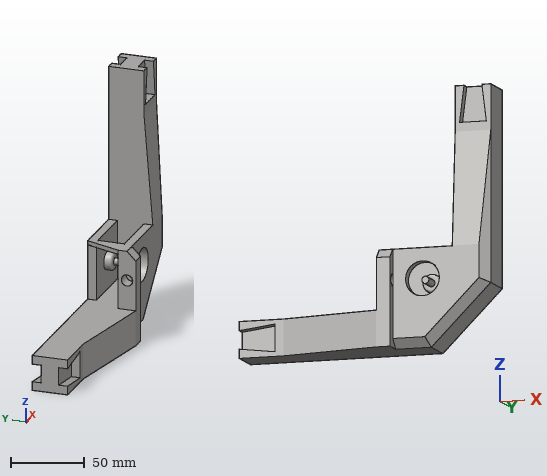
import cadquery as cq

length = 179.0
section = 25.5
wall = section / 4
plate_depth = section + wall
post_depth = section + 2 * wall

arm_inner = length - section
post_left = 101.7
post_right = 111.3
hub_height = 67.8
corner_cut = 42.2
end_block = 5 * wall

pocket_left = 114.2
bridge_thickness = 3.0
pin_x = (post_right + arm_inner) / 2
pin_z = (section + hub_height) / 2
access_diameter = 24.0
side_hole_diameter = 8.0

pin_diameter = 5.0
head_diameter = 12.7
head_height = 5.7
head_fillet = 1.6

dovetail_mouth = 2 * wall
dovetail_base = 3 * wall
dovetail_length = section


def slab(points, depth_from, depth_to):
    """Extrude an (X, Z) outline between two depths."""
    plane = cq.Workplane("XZ", origin=(0, -depth_from, 0))
    return plane.polyline(points).close().extrude(depth_to - depth_from)


def block(x_range, depth_range, z_range):
    (x0, x1), (z0, z1) = x_range, z_range
    return slab([(x0, z0), (x1, z0), (x1, z1), (x0, z1)], *depth_range)


def cylinder(diameter, depth_from, depth_to):
    """Round solid on the pin axis between two depths."""
    plane = cq.Workplane("XZ", origin=(pin_x, -depth_from, pin_z))
    return plane.circle(diameter / 2).extrude(depth_to - depth_from)


def lower_arm():
    """Lower arm, deepening toward the post."""
    outline = [
        (0, 0), (post_right, 0), (post_right, -post_depth), (post_left, -post_depth),
        (end_block, -section), (0, -section),
    ]
    return cq.Workplane("XY").polyline(outline).close().extrude(section)


def post():
    """Upright post with a chamfered top front edge."""
    outline = [
        (-section, 0), (-post_depth, 0), (-post_depth, hub_height - wall),
        (-plate_depth, hub_height), (-section, hub_height),
    ]
    plane = cq.Workplane("YZ", origin=(post_left, 0, 0))
    solid = plane.polyline(outline).close().extrude(post_right - post_left)
    hole = plane.center(-plate_depth, pin_z).circle(side_hole_diameter / 2)
    return solid.cut(hole.extrude(post_right - post_left))


def hub_and_upright_arm():
    """Hub and upright arm behind the plate, with the gusset plate and arm taper in front."""
    core = slab(
        [
            (post_right, 0), (length - corner_cut, 0), (length, corner_cut), (length, length),
            (arm_inner, length), (arm_inner, hub_height), (post_right, hub_height),
        ],
        0, section,
    )
    plate = block((post_right, length), (section, plate_depth), (0, hub_height))
    taper_outline = [
        (-section, hub_height), (-plate_depth, hub_height), (-section, length - end_block),
    ]
    taper = (
        cq.Workplane("YZ", origin=(arm_inner, 0, 0))
        .polyline(taper_outline).close().extrude(section)
    )
    envelope = (
        cq.Workplane("XZ", origin=(0, -section, 0))
        .polyline([
            (post_right - wall, 0), (length - corner_cut, 0), (length, corner_cut),
            (length, length), (post_right - wall, length),
        ])
        .close().extrude(wall, taper=45)
    )
    return core.union(plate.union(taper).intersect(envelope))


def bridge():
    """Web joining the back wall to the post, slanted on its outer face."""
    outline = [
        (post_right, 0), (pocket_left, 0), (pocket_left, -section), (post_left, -section),
    ]
    plane = cq.Workplane("XY", origin=(0, 0, hub_height - bridge_thickness))
    return plane.polyline(outline).close().extrude(bridge_thickness)


def pin():
    """Headed pin standing on the back wall."""
    head = cylinder(head_diameter, wall, wall + head_height).faces("<Y").edges().fillet(head_fillet)
    return head.union(cylinder(pin_diameter, wall, section))


def dovetail(depth_from, upright):
    """Dovetail recess, one wall deep, narrowing toward the free end of an arm."""
    outline = [
        (0, (section - dovetail_mouth) / 2),
        (dovetail_length, (section - dovetail_base) / 2),
        (dovetail_length, (section + dovetail_base) / 2),
        (0, (section + dovetail_mouth) / 2),
    ]
    if upright:
        outline = [(length - across, length - along) for along, across in outline]
    return slab(outline, depth_from, depth_from + wall)


hub_pocket = block((post_right, arm_inner), (wall, section), (section, hub_height))

result = (
    hub_and_upright_arm()
    .cut(hub_pocket)
    .union(lower_arm())
    .union(post())
    .union(bridge())
    .cut(cylinder(access_diameter, section, plate_depth))
    .union(pin())
)

for depth in (0, section - wall):
    for upright in (False, True):
        result = result.cut(dovetail(depth, upright))